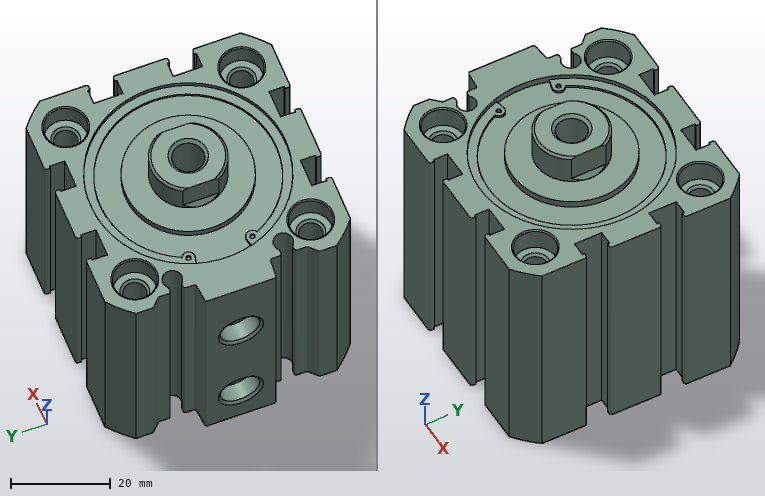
import cadquery as cq
import math


total_height = 57.0
body_height = 50.0
body_width = 53.0
half_width = body_width / 2
corner_circle_diameter = 68.5
corner_reach = 21.65
edge_radius = 0.5

port_face_x = -29.0
block_half_width = 7.65
block_root_half_width = 8.05
side_wall_x = -24.55
side_step_y = 17.95
groove_y = 11.95
groove_neck_width = 2.8
groove_diameter = 4.1
groove_centre_x = -21.8

slot_spacing = 17.15
slot_mouth_width = 5.3
slot_inner_width = 6.25
slot_depth = 4.45
slot_lip = 1.2

mount_pitch = 37.95
mount_hole_diameter = 4.9
mount_hole_chamfer_diameter = 6.0
mount_bore_diameter = 9.0
mount_bore_rim_diameter = 9.6
mount_bore_depth = 5.0

port_diameter = 8.55
port_rim_diameter = 9.7
port_depth = 4.3
port_heights = (9.5, 33.5)

recess_diameter = 42.0
recess_depth = 1.6
boss_diameter = 27.0
ring_inner_diameter = 37.95
ring_thickness = 0.55
lug_radius = 1.35
lug_hole_diameter = 1.0
lug_circle_radius = 19.05
lug_angle = 21.2
gap_angle = 14.0

rod_diameter = 16.0
rod_insertion = 17.1
rod_chamfer = 0.5
flat_width = 13.95
flat_height = 6.1
thread_diameter = 6.65
thread_rim_diameter = 8.1
thread_depth = 13.0


def chamfered_hole(diameter, rim_diameter, depth):
    """Cutter for a hole that goes down from Z = 0 and has a 45 degree chamfer at its rim."""
    radius = diameter / 2
    rim_radius = rim_diameter / 2
    profile = [
        (0, 0),
        (rim_radius, 0),
        (radius, radius - rim_radius),
        (radius, -depth),
        (0, -depth),
    ]
    return cq.Workplane("XZ").polyline(profile).close().revolve(360, (0, 0), (0, 1))


def round_corners(solid, corners):
    """Round the vertical edges that stand on the given (x, y) points."""
    for x, y in corners:
        edge = cq.selectors.NearestToPointSelector((x, y, body_height / 2))
        solid = solid.edges("|Z").edges(edge).fillet(edge_radius)
    return solid


def make_extrusion():
    """Square with trimmed corners, a stepped -X side and a port block in the middle of that side."""
    step_inner_y = side_step_y - (half_width + side_wall_x)
    upper_side = [
        (-half_width, side_step_y),
        (side_wall_x, step_inner_y),
        (side_wall_x, block_root_half_width),
        (port_face_x, block_half_width),
    ]
    lower_side = [(x, -y) for x, y in reversed(upper_side)]
    arc_mid = corner_circle_diameter / 2 * math.sqrt(0.5)
    profile = (
        cq.Workplane("XY")
        .moveTo(corner_reach, half_width)
        .lineTo(-corner_reach, half_width)
        .threePointArc((-arc_mid, arc_mid), (-half_width, corner_reach))
    )
    for x, y in upper_side + lower_side:
        profile = profile.lineTo(x, y)
    profile = (
        profile
        .lineTo(-half_width, -corner_reach)
        .threePointArc((-arc_mid, -arc_mid), (-corner_reach, -half_width))
        .lineTo(corner_reach, -half_width)
        .threePointArc((arc_mid, -arc_mid), (half_width, -corner_reach))
        .lineTo(half_width, corner_reach)
        .threePointArc((arc_mid, arc_mid), (corner_reach, half_width))
        .close()
    )
    return round_corners(profile.extrude(body_height), upper_side + lower_side)


def cut_wire_grooves(solid):
    """Round-bottomed sensor grooves, one on each side of the port block."""
    neck_length = groove_centre_x - side_wall_x
    mouth_corners = []
    for y in (groove_y, -groove_y):
        neck = (
            cq.Workplane("XY")
            .center(side_wall_x + neck_length / 2, y)
            .rect(neck_length, groove_neck_width)
            .extrude(body_height)
        )
        channel = (
            cq.Workplane("XY")
            .center(groove_centre_x, y)
            .circle(groove_diameter / 2)
            .extrude(body_height)
        )
        solid = solid.cut(neck).cut(channel)
        for side in (1, -1):
            mouth_corners.append((side_wall_x, y + side * groove_neck_width / 2))
    return round_corners(solid, mouth_corners)


def cut_t_slots(solid):
    """Pairs of T-slots along the full height of the +X, +Y and -Y faces."""
    pocket_depth = slot_depth - slot_lip
    lip_corners = []
    for angle in (0, 90, -90):
        turn = math.radians(angle)
        for offset in (slot_spacing / 2, -slot_spacing / 2):
            mouth = (
                cq.Workplane("XY")
                .center(half_width - slot_depth / 2, offset)
                .rect(slot_depth, slot_mouth_width)
                .extrude(body_height)
            )
            pocket = (
                cq.Workplane("XY")
                .center(half_width - slot_depth + pocket_depth / 2, offset)
                .rect(pocket_depth, slot_inner_width)
                .extrude(body_height)
            )
            slot = mouth.union(pocket)
            solid = solid.cut(slot.rotate((0, 0, 0), (0, 0, 1), angle))
            for side in (1, -1):
                along = offset + side * slot_mouth_width / 2
                lip_x = half_width * math.cos(turn) - along * math.sin(turn)
                lip_y = half_width * math.sin(turn) + along * math.cos(turn)
                lip_corners.append((lip_x, lip_y))
    return round_corners(solid, lip_corners)


def cut_mounting_holes(solid):
    """Four through holes, each counterbored from the top."""
    bore = chamfered_hole(mount_bore_diameter, mount_bore_rim_diameter, mount_bore_depth)
    hole_length = body_height - mount_bore_depth
    hole = chamfered_hole(mount_hole_diameter, mount_hole_chamfer_diameter, hole_length)
    cutter = bore.union(hole.translate((0, 0, -mount_bore_depth)))
    for x in (mount_pitch / 2, -mount_pitch / 2):
        for y in (mount_pitch / 2, -mount_pitch / 2):
            solid = solid.cut(cutter.translate((x, y, body_height)))
    return solid


def cut_ports(solid):
    """Two blind air ports in the face of the port block."""
    port = chamfered_hole(port_diameter, port_rim_diameter, port_depth)
    port = port.rotate((0, 0, 0), (0, 1, 0), -90)
    for z in port_heights:
        solid = solid.cut(port.translate((port_face_x, 0, z)))
    return solid


def make_retaining_ring():
    """Open ring with a drilled lug at each end of its gap, standing on Z = 0."""
    lug_turn = math.radians(lug_angle)
    lug_x = -lug_circle_radius * math.cos(lug_turn)
    lug_y = lug_circle_radius * math.sin(lug_turn)

    tilt = math.radians(gap_angle)
    inner_x = lug_x - lug_radius * math.sin(tilt)
    inner_y = lug_y - lug_radius * math.cos(tilt)
    gap_length = lug_radius + recess_diameter / 2 - ring_inner_diameter / 2
    outer_x = inner_x - gap_length * math.cos(tilt)
    outer_y = inner_y + gap_length * math.sin(tilt)
    gap = (
        cq.Workplane("XY")
        .polyline([(inner_x, inner_y), (outer_x, outer_y), (outer_x, -outer_y), (inner_x, -inner_y)])
        .close()
        .extrude(ring_thickness)
    )
    ring = (
        cq.Workplane("XY")
        .circle(recess_diameter / 2)
        .circle(ring_inner_diameter / 2)
        .extrude(ring_thickness)
        .cut(gap)
    )
    lug_centres = [(lug_x, lug_y), (lug_x, -lug_y)]
    lugs = cq.Workplane("XY").pushPoints(lug_centres).circle(lug_radius).extrude(ring_thickness)
    holes = (
        cq.Workplane("XY")
        .pushPoints(lug_centres)
        .circle(lug_hole_diameter / 2)
        .extrude(ring_thickness)
    )
    return ring.union(lugs).cut(holes)


def form_cover(solid):
    """Recess around the raised boss, with the retaining ring on its floor."""
    recess = (
        cq.Workplane("XY")
        .workplane(offset=body_height - recess_depth)
        .circle(recess_diameter / 2)
        .circle(boss_diameter / 2)
        .extrude(recess_depth)
    )
    ring = make_retaining_ring().translate((0, 0, body_height - recess_depth))
    return solid.cut(recess).union(ring)


def make_housing():
    solid = make_extrusion()
    solid = cut_wire_grooves(solid)
    solid = cut_t_slots(solid)
    solid = cut_mounting_holes(solid)
    solid = cut_ports(solid)
    solid = form_cover(solid)
    rod_bore = (
        cq.Workplane("XY")
        .workplane(offset=body_height - rod_insertion)
        .circle(rod_diameter / 2)
        .extrude(rod_insertion)
    )
    return solid.cut(rod_bore)


def make_rod():
    """Round rod with a threaded end hole and two wrench flats that run out at 45 degrees."""
    rod_bottom = body_height - rod_insertion
    rod = (
        cq.Workplane("XY")
        .workplane(offset=rod_bottom)
        .circle(rod_diameter / 2)
        .extrude(total_height - rod_bottom)
        .faces(">Z")
        .chamfer(rod_chamfer)
    )
    flat_bottom = total_height - flat_height
    flat_x = flat_width / 2
    rod_radius = rod_diameter / 2
    flat_profile = [
        (flat_x, total_height),
        (flat_x, flat_bottom),
        (rod_radius, flat_bottom - (rod_radius - flat_x)),
        (rod_radius, total_height),
    ]
    flat = cq.Workplane("XZ").polyline(flat_profile).close().extrude(rod_radius, both=True)
    thread = chamfered_hole(thread_diameter, thread_rim_diameter, thread_depth)
    return (
        rod
        .cut(flat)
        .cut(flat.mirror("YZ"))
        .cut(thread.translate((0, 0, total_height)))
    )


housing = make_housing()
rod = make_rod()

result = cq.Compound.makeCompound([housing.val(), rod.val()])